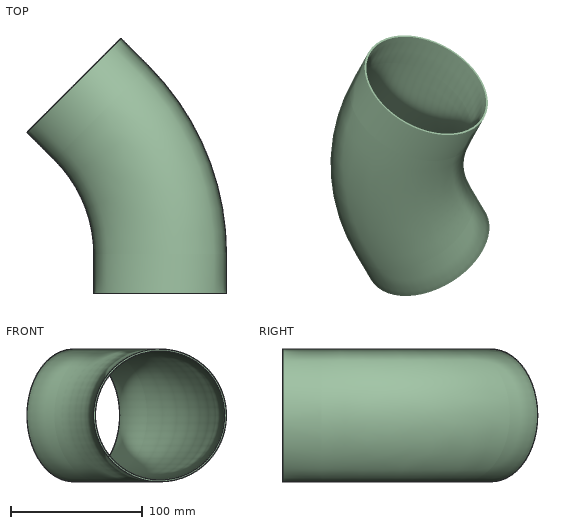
import cadquery as cq
import math

outer_diameter = 101.5
inner_diameter = 98.6
collar_length = 30.0
bend_angle = 45.0
bend_radius = 1.5 * outer_diameter


def bend_point(angle):
    """Point on the centreline arc at the given angle in degrees from its start."""
    turn = math.radians(angle)
    x = -bend_radius * (1 - math.cos(turn))
    y = collar_length + bend_radius * math.sin(turn)
    return x, y


bend_end_x, bend_end_y = bend_point(bend_angle)
end_direction = math.radians(bend_angle)
pipe_end = (
    bend_end_x - collar_length * math.sin(end_direction),
    bend_end_y + collar_length * math.cos(end_direction),
)
centreline = (
    cq.Workplane("XY")
    .lineTo(0, collar_length)
    .threePointArc(bend_point(bend_angle / 2), (bend_end_x, bend_end_y))
    .lineTo(*pipe_end)
)

result = (
    cq.Workplane("XZ")
    .circle(outer_diameter / 2)
    .circle(inner_diameter / 2)
    .sweep(centreline)
)